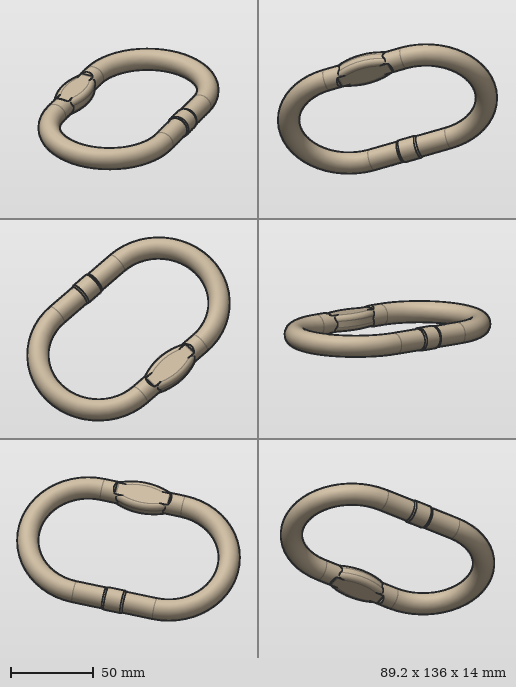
import cadquery as cq
import math

overall_length = 136.0
wire_diameter = 13.0
straight_length = 50.0
wire_radius = wire_diameter / 2
bend_radius = (overall_length - straight_length - wire_diameter) / 2
half_straight = straight_length / 2

collar_diameter = 14.0
collar_length = 12.8
collar_land = 10.2

lock_width = 18.4
lock_length = 31.5
lock_height = 10.3
lock_flank_radius = 38.1
lock_edge_radius = 3.3

flat_half_height = lock_height / 2
shallow_ramp_run = 0.8
shallow_ramp_rise = 0.1
steep_ramp_angle = 45.0


def make_wire_ring():
    path = (
        cq.Workplane("XY")
        .moveTo(bend_radius, -half_straight)
        .lineTo(bend_radius, half_straight)
        .threePointArc((0, half_straight + bend_radius), (-bend_radius, half_straight))
        .lineTo(-bend_radius, -half_straight)
        .threePointArc((0, -half_straight - bend_radius), (bend_radius, -half_straight))
        .close()
    )
    section = cq.Workplane("XZ", origin=(bend_radius, -half_straight, 0)).circle(wire_radius)
    return section.sweep(path)


def make_collar():
    """Round sleeve whose ends taper down to the wire."""
    collar_radius = collar_diameter / 2
    profile = (
        cq.Workplane("XY")
        .moveTo(0, -collar_length / 2)
        .lineTo(wire_radius, -collar_length / 2)
        .lineTo(collar_radius, -collar_land / 2)
        .lineTo(collar_radius, collar_land / 2)
        .lineTo(wire_radius, collar_length / 2)
        .lineTo(0, collar_length / 2)
        .close()
    )
    return profile.revolve(360, (0, 0, 0), (0, 1, 0)).translate((bend_radius, 0, 0))


def make_lock_body():
    """Flat-topped body with bulging, rounded flanks."""
    half_width = lock_width / 2
    half_length = lock_length / 2
    flank_rise = lock_flank_radius - math.sqrt(lock_flank_radius**2 - half_length**2)
    end_half_width = half_width - flank_rise
    body = (
        cq.Workplane("XY")
        .moveTo(end_half_width, -half_length)
        .threePointArc((half_width, 0), (end_half_width, half_length))
        .lineTo(-end_half_width, half_length)
        .threePointArc((-half_width, 0), (-end_half_width, -half_length))
        .close()
        .extrude(lock_height / 2, both=True)
    )
    flank_edges = body.faces("|Z").edges("not(<Y or >Y)")
    body = flank_edges.fillet(lock_edge_radius)
    return body.translate((-bend_radius, 0, 0))


def make_flat_cutter():
    """Block with ramped ends that takes the crown off the upper side of the wire."""
    half_flat = lock_length / 2
    ramp_change_y = half_flat + shallow_ramp_run
    ramp_change_z = flat_half_height + shallow_ramp_rise
    steep_run = (wire_radius - ramp_change_z) / math.tan(math.radians(steep_ramp_angle))
    crown_y = ramp_change_y + steep_run
    return (
        cq.Workplane("YZ", origin=(-bend_radius, 0, 0))
        .moveTo(-half_flat, flat_half_height)
        .lineTo(half_flat, flat_half_height)
        .lineTo(ramp_change_y, ramp_change_z)
        .lineTo(crown_y, wire_radius)
        .lineTo(-crown_y, wire_radius)
        .lineTo(-ramp_change_y, ramp_change_z)
        .close()
        .extrude(wire_radius, both=True)
    )


upper_flat = make_flat_cutter()
lower_flat = upper_flat.mirror("XY")

result = make_wire_ring().cut(upper_flat).cut(lower_flat)
result = result.union(make_collar()).union(make_lock_body()).clean()